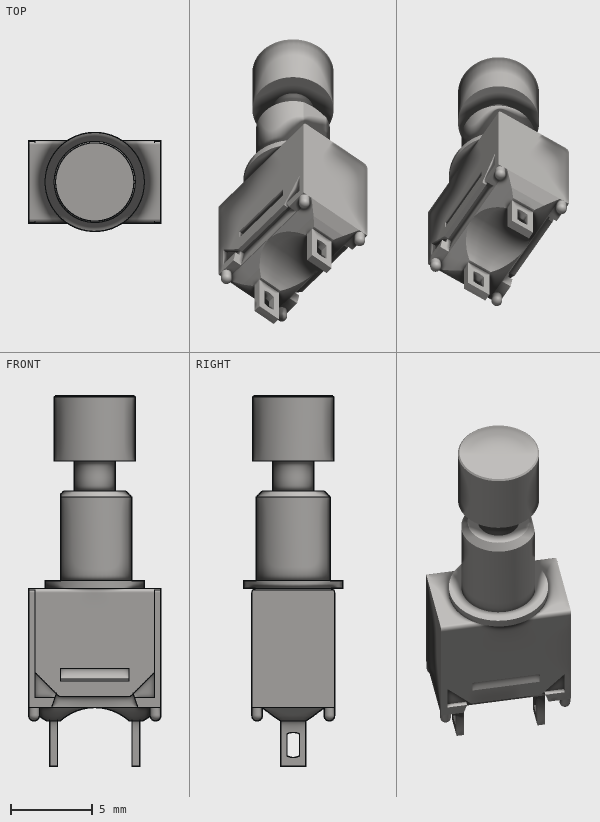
import cadquery as cq


BODY_X = 8.14
BODY_Y = 5.1
BODY_TOP = 7.34

FRAME_TOP_THICK = 0.11
FRAME_SIDE_THICK = 0.3
FRAME_BEND_RADIUS = 0.27
FRAME_SIDE_X = 7.34
FRAME_SIDE_BOTTOM = 0.68
FRAME_CORNER = 1.48
WINDOW_X = 4.2
WINDOW_BOTTOM = 1.65
WINDOW_Z = 0.77

RAIL_TOP = 0.62
SNAP_FACE_Z = 0.14
NOTCH_BOTTOM_X = 5.3
NOTCH_TOP_X = 4.7
NOTCH_TOP = 0.91
NOTCH_DEPTH = 0.6
PEG_DIAMETER = 0.65
PEG_LENGTH = 0.82

TERMINAL_X = 2.53
TERMINAL_THICK = 0.48
TERMINAL_WIDTH = 1.55
TERMINAL_BOTTOM = -3.6
TERMINAL_TOP = 0.68
EYE_WIDTH = 0.75
EYE_BOTTOM = -3.05
EYE_TOP = -1.53
EYE_BULGE = 0.1

MOUND_DEPTH = 0.82
MOUND_INNER_X = 2.12
MOUND_OUTER_X = 2.95
MOUND_SHOULDER_DEPTH = 0.55
MOUND_SHOULDER_X = 3.4
MOUND_SHOULDER_WIDTH = 2.37
MOUND_WIDTH = 3.83

FLANGE_DIAMETER = 6.1
FLANGE_THICK = 0.48
BUSHING_DIAMETER = 4.58
BUSHING_LENGTH = 5.52
BUSHING_CHAMFER = 0.39
FLAT_X = -2.1

STEM_DIAMETER = 2.53
STEM_EXPOSED = 1.82
CAP_DIAMETER = 5.0
CAP_EDGE = 0.1
TOTAL_Z = 22.8

FLANGE_TOP = BODY_TOP + FLANGE_THICK
BUSHING_TOP = FLANGE_TOP + BUSHING_LENGTH
CAP_BOTTOM = BUSHING_TOP + STEM_EXPOSED
CAP_TOP = TERMINAL_BOTTOM + TOTAL_Z
BASE_TOP = BODY_TOP - FRAME_TOP_THICK
FRONT_Y = -BODY_Y / 2
RECESS_Y = FRONT_Y + FRAME_SIDE_THICK


def block(size_x, size_y, bottom, top):
    """Box centred on the Z axis between two heights."""
    return cq.Workplane("XY").workplane(offset=bottom).rect(size_x, size_y).extrude(top - bottom)


def cylinder(diameter, bottom, top):
    """Cylinder on the Z axis between two heights."""
    return cq.Workplane("XY").workplane(offset=bottom).circle(diameter / 2).extrude(top - bottom)


def front_and_back(shape):
    """The shape together with its mirror image across the XZ plane."""
    return shape.union(shape.mirror("XZ"))


def rounded_body():
    """Full envelope of the switch body with the frame's two bends along X."""
    return block(BODY_X, BODY_Y, 0, BODY_TOP).edges("|X and >Z").fillet(FRAME_BEND_RADIUS)


def side_plate():
    """Front plate of the frame with cut lower corners and its snap window."""
    half = FRAME_SIDE_X / 2
    plate = (
        cq.Workplane("XZ", origin=(0, RECESS_Y, 0))
        .moveTo(-half, BODY_TOP)
        .lineTo(-half, FRAME_SIDE_BOTTOM + FRAME_CORNER)
        .lineTo(-half + FRAME_CORNER, FRAME_SIDE_BOTTOM)
        .lineTo(half - FRAME_CORNER, FRAME_SIDE_BOTTOM)
        .lineTo(half, FRAME_SIDE_BOTTOM + FRAME_CORNER)
        .lineTo(half, BODY_TOP)
        .close()
        .extrude(FRAME_SIDE_THICK)
    )
    window = block(WINDOW_X, BODY_Y, WINDOW_BOTTOM, WINDOW_BOTTOM + WINDOW_Z)
    return plate.cut(window)


def make_frame():
    top_plate = block(BODY_X, BODY_Y, BASE_TOP, BODY_TOP)
    return top_plate.union(front_and_back(side_plate())).intersect(rounded_body())


def plate_recess():
    """Front recess of the base that takes the frame's plate."""
    height = BASE_TOP - RAIL_TOP
    return cq.Workplane("XY").box(
        FRAME_SIDE_X, FRAME_SIDE_THICK, height, centered=(True, False, False)
    ).translate((0, FRONT_Y, RAIL_TOP))


def rail_notch():
    """Notch in the front rail, wider at the bottom."""
    return (
        cq.Workplane("XZ", origin=(0, FRONT_Y + NOTCH_DEPTH, 0))
        .moveTo(-NOTCH_BOTTOM_X / 2, 0)
        .lineTo(NOTCH_BOTTOM_X / 2, 0)
        .lineTo(NOTCH_TOP_X / 2, NOTCH_TOP)
        .lineTo(-NOTCH_TOP_X / 2, NOTCH_TOP)
        .close()
        .extrude(NOTCH_DEPTH)
    )


def snap_wedge():
    """Ramp on the recess floor that catches in the frame's window."""
    return (
        cq.Workplane("YZ", origin=(-WINDOW_X / 2, 0, 0))
        .moveTo(RECESS_Y, WINDOW_BOTTOM)
        .lineTo(FRONT_Y, WINDOW_BOTTOM)
        .lineTo(FRONT_Y, WINDOW_BOTTOM + SNAP_FACE_Z)
        .lineTo(RECESS_Y, WINDOW_BOTTOM + WINDOW_Z)
        .close()
        .extrude(WINDOW_X)
    )


def make_mound():
    """Sealing mound with sloped sides, arched between the two terminals."""
    arch_radius = (MOUND_INNER_X ** 2 + MOUND_DEPTH ** 2) / (2 * MOUND_DEPTH)
    along_x = (
        cq.Workplane("XZ", origin=(0, BODY_Y / 2, 0))
        .moveTo(-BODY_X / 2, 0)
        .lineTo(-MOUND_SHOULDER_X, -MOUND_SHOULDER_DEPTH)
        .lineTo(-MOUND_OUTER_X, -MOUND_DEPTH)
        .lineTo(-MOUND_INNER_X, -MOUND_DEPTH)
        .radiusArc((0, 0), arch_radius)
        .close()
        .extrude(BODY_Y)
    )
    along_y = (
        cq.Workplane("YZ", origin=(-BODY_X / 2, 0, 0))
        .moveTo(-MOUND_WIDTH / 2, 0)
        .lineTo(-MOUND_SHOULDER_WIDTH / 2, -MOUND_SHOULDER_DEPTH)
        .lineTo(-TERMINAL_WIDTH / 2, -MOUND_DEPTH)
        .lineTo(TERMINAL_WIDTH / 2, -MOUND_DEPTH)
        .lineTo(MOUND_SHOULDER_WIDTH / 2, -MOUND_SHOULDER_DEPTH)
        .lineTo(MOUND_WIDTH / 2, 0)
        .close()
        .extrude(BODY_X)
    )
    left = along_x.intersect(along_y)
    return left.union(left.mirror("YZ"))


def make_pegs():
    """Four round-ended locating pegs under the corners of the base."""
    radius = PEG_DIAMETER / 2
    shank = cylinder(PEG_DIAMETER, radius - PEG_LENGTH, 0)
    tip = cq.Workplane("XY").sphere(radius).translate((0, 0, radius - PEG_LENGTH))
    peg = shank.union(tip)
    corners = cq.Workplane("XY").rect(BODY_X - PEG_DIAMETER, BODY_Y - PEG_DIAMETER, forConstruction=True)
    return corners.vertices().eachpoint(lambda place: peg.val().moved(place))


def terminal_blank(x):
    """Terminal strip without its eye; also the shape of its socket."""
    return block(TERMINAL_THICK, TERMINAL_WIDTH, TERMINAL_BOTTOM, TERMINAL_TOP).translate((x, 0, 0))


def make_terminal(x):
    half = EYE_WIDTH / 2
    eye = (
        cq.Workplane("YZ", origin=(x - TERMINAL_THICK / 2, 0, 0))
        .moveTo(-half, EYE_BOTTOM + EYE_BULGE)
        .threePointArc((0, EYE_BOTTOM), (half, EYE_BOTTOM + EYE_BULGE))
        .lineTo(half, EYE_TOP - EYE_BULGE)
        .threePointArc((0, EYE_TOP), (-half, EYE_TOP - EYE_BULGE))
        .close()
        .extrude(TERMINAL_THICK)
    )
    return terminal_blank(x).cut(eye)


def make_base():
    base = block(BODY_X, BODY_Y, 0, BASE_TOP).intersect(rounded_body())
    base = base.cut(front_and_back(plate_recess())).cut(front_and_back(rail_notch()))
    base = base.union(front_and_back(snap_wedge())).union(make_mound()).union(make_pegs())
    for x in (-TERMINAL_X, TERMINAL_X):
        base = base.cut(terminal_blank(x))
    return base


def make_bushing():
    barrel = cylinder(BUSHING_DIAMETER, FLANGE_TOP, BUSHING_TOP).faces(">Z").chamfer(BUSHING_CHAMFER)
    kept = block(BUSHING_DIAMETER, BUSHING_DIAMETER, FLANGE_TOP, BUSHING_TOP)
    kept = kept.translate((FLAT_X + BUSHING_DIAMETER / 2, 0, 0))
    flange = cylinder(FLANGE_DIAMETER, BODY_TOP, FLANGE_TOP)
    return flange.union(barrel.intersect(kept)).cut(cylinder(STEM_DIAMETER, BODY_TOP, BUSHING_TOP))


def make_button():
    cap = cylinder(CAP_DIAMETER, CAP_BOTTOM, CAP_TOP).faces(">Z").edges().chamfer(CAP_EDGE)
    return cap.union(cylinder(STEM_DIAMETER, BODY_TOP, CAP_BOTTOM))


frame = make_frame()
base = make_base()
bushing = make_bushing()
button = make_button()
terminals = [make_terminal(x) for x in (-TERMINAL_X, TERMINAL_X)]

bodies = [frame, base, bushing, button, *terminals]
result = cq.Compound.makeCompound([solid for body in bodies for solid in body.solids().vals()])